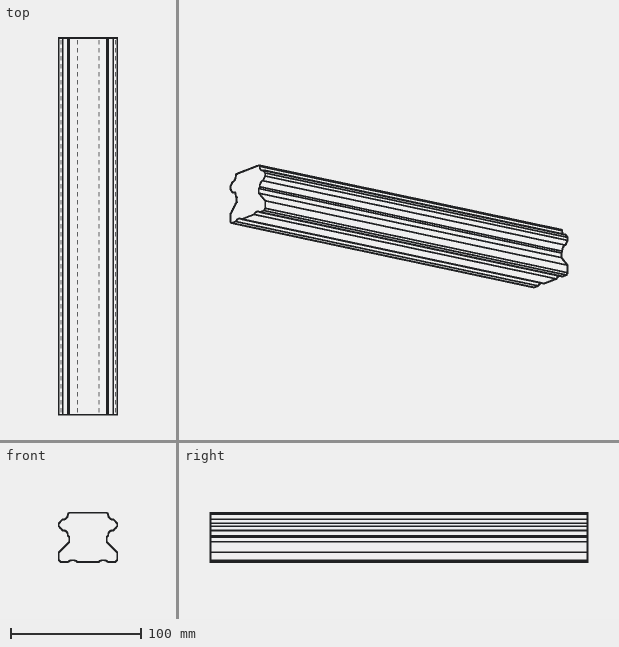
import cadquery as cq
import math

rail_width = 45.0
rail_length = 290.0
rail_height = 38.0

half_width = rail_width / 2
neck_half_width = 14.5
groove_half_width = 15.6
shoulder_half_width = 19.6
groove_axis_height = 28.6
groove_inner_rise = 8.2
groove_outer_rise = 4.3
flank_rise = 1.2
groove_sagitta = 1.4
neck_bottom = 15.5
foot_height = neck_bottom - (half_width - neck_half_width)
base_chamfer = 1.5

relief_center = 11.8
relief_width = 7.4
relief_depth = 1.4

cap_diameter = 20.0
cap_thickness = 5.0
cap_pitch = 105.0
cap_count = 3


def groove_arc_middle():
    """Return the distance from X = 0 and the rise of the point halfway along a groove arc."""
    run = shoulder_half_width - groove_half_width
    drop = groove_inner_rise - groove_outer_rise
    chord = math.hypot(run, drop)
    middle_x = (groove_half_width + shoulder_half_width) / 2 - groove_sagitta * drop / chord
    middle_rise = (groove_inner_rise + groove_outer_rise) / 2 - groove_sagitta * run / chord
    return middle_x, middle_rise


def make_rail():
    """Extrude one half of the rail section along Y and mirror it about X = 0."""
    middle_x, middle_rise = groove_arc_middle()
    neck_top = 2 * groove_axis_height - rail_height
    half_rail = (
        cq.Workplane("XZ")
        .moveTo(0, 0)
        .lineTo(half_width - base_chamfer, 0)
        .lineTo(half_width, base_chamfer)
        .lineTo(half_width, foot_height)
        .lineTo(neck_half_width, neck_bottom)
        .lineTo(neck_half_width, neck_top)
        .lineTo(groove_half_width, groove_axis_height - groove_inner_rise)
        .threePointArc(
            (middle_x, groove_axis_height - middle_rise),
            (shoulder_half_width, groove_axis_height - groove_outer_rise),
        )
        .lineTo(half_width, groove_axis_height - flank_rise)
        .lineTo(half_width, groove_axis_height + flank_rise)
        .lineTo(shoulder_half_width, groove_axis_height + groove_outer_rise)
        .threePointArc(
            (middle_x, groove_axis_height + middle_rise),
            (groove_half_width, groove_axis_height + groove_inner_rise),
        )
        .lineTo(neck_half_width, rail_height)
        .lineTo(0, rail_height)
        .close()
        .extrude(rail_length / 2, both=True)
    )
    return half_rail.union(half_rail.mirror("YZ")).clean()


def cut_base_reliefs(rail):
    """Cut one shallow arched channel on each side of the base."""
    for side in (-1, 1):
        center = side * relief_center
        channel = (
            cq.Workplane("XZ")
            .moveTo(center - relief_width / 2, 0)
            .threePointArc((center, relief_depth), (center + relief_width / 2, 0))
            .close()
            .extrude(rail_length / 2, both=True)
        )
        rail = rail.cut(channel)
    return rail


def fit_caps(rail):
    """Set the caps flush into the top; their rims stay as seams in the top face."""
    first_cap = -cap_pitch * (cap_count - 1) / 2
    for index in range(cap_count):
        cap = (
            cq.Workplane("XY", origin=(0, first_cap + index * cap_pitch, rail_height))
            .circle(cap_diameter / 2)
            .extrude(-cap_thickness)
        )
        rail = rail.cut(cap, clean=False).union(cap, clean=False)
    return rail


result = fit_caps(cut_base_reliefs(make_rail()))